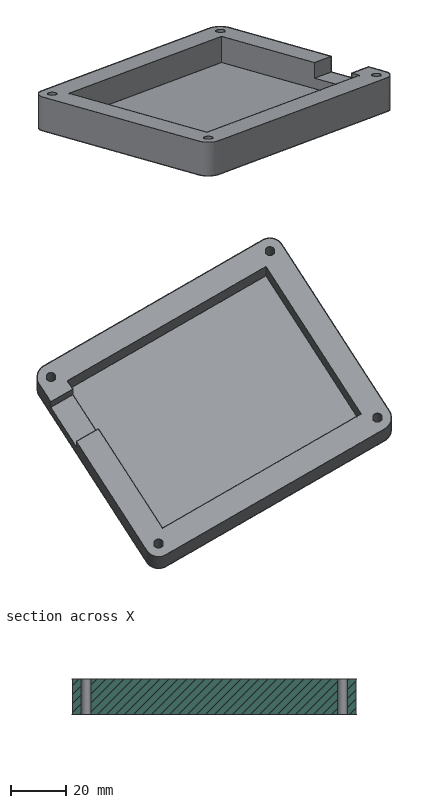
import cadquery as cq

width = 85.0
length = 103.0
height = 13.0
corner_radius = 5.0

wall = 9.4
pocket_depth = 10.0

notch_left = 11.5
notch_width = 17.8
notch_depth = 6.0

hole_diameter = 3.4
hole_spacing_x = width - 2 * corner_radius
hole_spacing_y = length - 2 * corner_radius


def make_body():
    """Block with rounded vertical corners, standing on Z = 0."""
    block = cq.Workplane("XY").box(width, length, height, centered=(True, True, False))
    return block.edges("|Z").fillet(corner_radius)


def make_pocket():
    """Volume removed to leave a floor and four equal walls."""
    return (
        cq.Workplane("XY")
        .workplane(offset=height - pocket_depth)
        .rect(width - 2 * wall, length - 2 * wall)
        .extrude(pocket_depth)
    )


def make_notch():
    """Volume removed from the top of the +Y wall, across its full thickness."""
    return (
        cq.Workplane("XY")
        .box(notch_width, wall, notch_depth, centered=False)
        .translate((notch_left, length / 2 - wall, height - notch_depth))
    )


def make_holes():
    """Four corner holes running through the full height."""
    return (
        cq.Workplane("XY")
        .rect(hole_spacing_x, hole_spacing_y, forConstruction=True)
        .vertices()
        .circle(hole_diameter / 2)
        .extrude(height)
    )


result = make_body().cut(make_pocket()).cut(make_notch()).cut(make_holes())